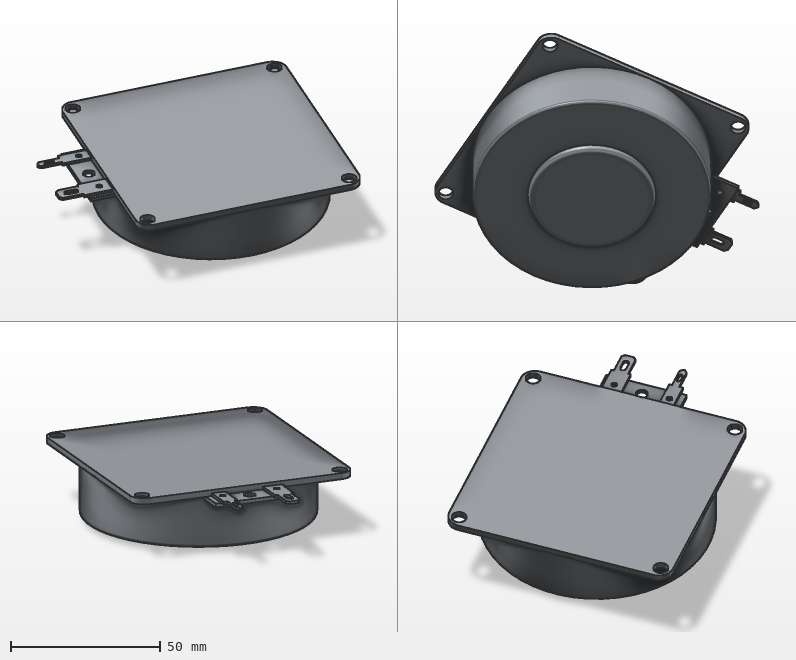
import cadquery as cq

flange_width = 80.0
flange_thickness = 2.2
flange_corner_radius = 5.0
mount_hole_diameter = 5.0
mount_hole_spacing = 72.1
basket_diameter = flange_width
basket_height = 18.7
basket_edge_radius = 1.0
cap_diameter = 42.9
cap_height = 2.2
cap_edge_radius = cap_height

flange_front_y = -flange_width / 2
board_width = 28.8
board_thickness = 1.4
board_inset = 1.2
board_overhang = 8.3
board_back_y = flange_front_y + board_inset
board_front_y = flange_front_y - board_overhang
board_hole_diameter = 4.0
rivet_hole_diameter = 2.0
hole_row_y = flange_front_y - 3.6

tag_thickness = 1.0
tag_length = 18.5
tag_shoulder_length = 10.2
tag_tip_chamfer = 1.0
tag_tip_y = flange_front_y - tag_length
tag_shoulder_y = flange_front_y - tag_shoulder_length
tag_offset = 9.85
slot_front_y = tag_tip_y + 2.5

narrow_tag = {
    "x": -tag_offset,
    "base": 4.9,
    "blade": 2.6,
    "blade_shift": 0.2,
    "slot_width": 1.3,
    "slot_length": 3.4,
}
wide_tag = {
    "x": tag_offset,
    "base": 6.9,
    "blade": 5.0,
    "blade_shift": 0,
    "slot_width": 2.1,
    "slot_length": 4.8,
}
tags = [narrow_tag, wide_tag]


def make_block(width, front_y, back_y, bottom_z, height):
    """Box centred on X = 0, between two Y positions, rising from bottom_z."""
    return (
        cq.Workplane("XY", origin=(0, (front_y + back_y) / 2, bottom_z))
        .rect(width, back_y - front_y)
        .extrude(height)
    )


def make_board_blank():
    """Board without its holes, also used to cut its seat in the basket."""
    return make_block(board_width, board_front_y, board_back_y, -board_thickness, board_thickness)


def make_flange():
    return (
        cq.Workplane("XY")
        .rect(flange_width, flange_width)
        .extrude(flange_thickness)
        .edges("|Z")
        .fillet(flange_corner_radius)
        .faces(">Z")
        .workplane()
        .rect(mount_hole_spacing, mount_hole_spacing, forConstruction=True)
        .vertices()
        .hole(mount_hole_diameter)
    )


def make_basket():
    return (
        cq.Workplane("XY")
        .circle(basket_diameter / 2)
        .extrude(-basket_height)
        .faces("<Z")
        .edges()
        .fillet(basket_edge_radius)
    )


def make_cap():
    """Cap whose cylinder continues up through the basket, so its whole exposed edge is rounded."""
    return (
        cq.Workplane("XY")
        .circle(cap_diameter / 2)
        .extrude(-basket_height - cap_height)
        .faces("<Z")
        .edges()
        .fillet(cap_edge_radius)
    )


def make_housing():
    return make_flange().union(make_basket()).union(make_cap()).cut(make_board_blank())


def make_tag(tag):
    """Stepped solder tag with a chamfered tip and a wire slot."""
    base = make_block(tag["base"], tag_shoulder_y, flange_front_y, 0, tag_thickness)
    blade = (
        make_block(tag["blade"], tag_tip_y, tag_shoulder_y, 0, tag_thickness)
        .faces("<Y")
        .edges("|Z")
        .chamfer(tag_tip_chamfer)
    )
    slot = (
        cq.Workplane("XY", origin=(0, slot_front_y + tag["slot_length"] / 2, 0))
        .slot2D(tag["slot_length"], tag["slot_width"], 90)
        .extrude(tag_thickness)
    )
    blade = blade.cut(slot).translate((tag["blade_shift"], 0, 0))
    return base.union(blade).translate((tag["x"], 0, 0))


def make_strip_hole(x, diameter):
    """Cutter through the full thickness of the board and tags."""
    return (
        cq.Workplane("XY", origin=(x, hole_row_y, -board_thickness))
        .circle(diameter / 2)
        .extrude(board_thickness + tag_thickness)
    )


def make_terminal_strip():
    strip = make_board_blank()
    for tag in tags:
        strip = strip.union(make_tag(tag))
        strip = strip.cut(make_strip_hole(tag["x"], rivet_hole_diameter))
    return strip.cut(make_strip_hole(0, board_hole_diameter))


housing = make_housing()
terminal_strip = make_terminal_strip()
result = cq.Compound.makeCompound([housing.val(), terminal_strip.val()])